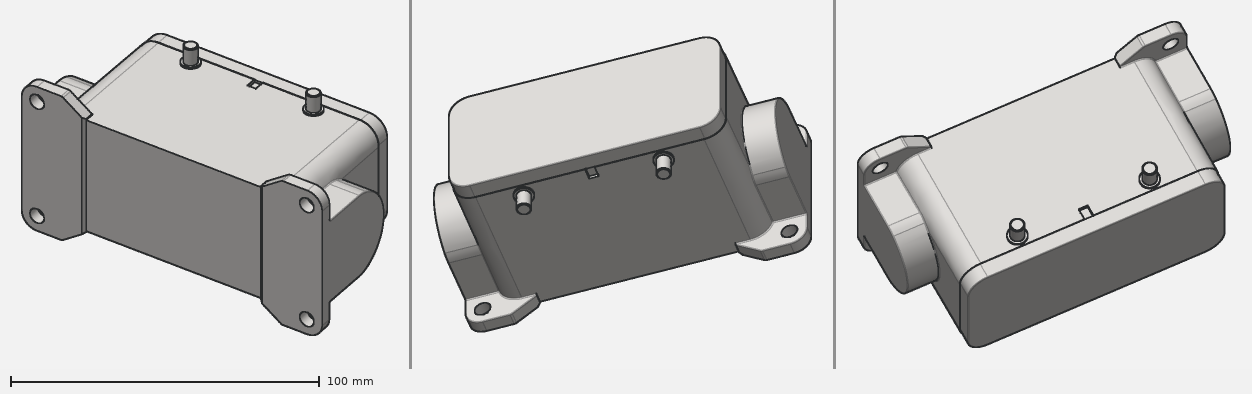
import cadquery as cq
import math

OVERALL_LENGTH = 117.0
OVERALL_HEIGHT = 56.3
PIN_SPAN = 57.8

EDGE_RADIUS = 0.29
ROOT_RADIUS = 0.4

BODY_LENGTH = 94.2
BODY_WIDTH = 44.0
BODY_CORNER_RADIUS = 8.0
BODY_DRAFT = 0.35
BASE_RECESS = 0.9

RIM_HEIGHT = 5.5
RIM_LENGTH = 93.0
RIM_WIDTH = 42.9
RIM_CORNER_RADIUS = 7.1
RIM_BASE = OVERALL_HEIGHT - RIM_HEIGHT

FLANGE_THICKNESS = 4.6
FLANGE_WIDTH = 57.0
FLANGE_NECK_WIDTH = 44.8
FLANGE_INNER_X = 34.0
FLANGE_SHOULDER_X = 42.8
FLANGE_CORNER_RADIUS = 5.8
FLANGE_SHOULDER_RADIUS = 1.4
FLANGE_INNER_CHAMFER = 1.0
MOUNT_HOLE_DIAMETER = 5.5
MOUNT_HOLE_SPACING_X = 105.1
MOUNT_HOLE_SPACING_Z = 45.2

HUB_WIDTH = 32.3
HUB_ARC_RADIUS = 16.5
HUB_CENTER_Y = 19.8
HUB_BLEND_RADIUS = 11.0

PIN_SPACING = 47.9
PIN_Y = 46.8
PIN_DIAMETER = 4.9
PIN_TIP_CHAMFER = 0.4
COLLAR_DIAMETER = 6.8
COLLAR_SPAN = 44.7

NOTCH_WIDTH = 3.3
NOTCH_HEIGHT = 4.2
NOTCH_DEPTH = 1.2


def rounded_block(length, width, radius, base, top, draft=0.0):
    """Block with rounded vertical corners, rising along +Y and narrowing by the draft angle."""
    outline = cq.Sketch().rect(length, width).vertices().fillet(radius)
    floor = cq.Workplane("XZ", origin=(0, base, 0))
    return floor.placeSketch(outline).extrude(base - top, taper=draft)


def mirrored_pair(half, plane):
    return half.union(half.mirror(plane))


def flange():
    """Plate at the +X end, necking down to just over the body width at its inner edge."""
    outer_x = OVERALL_LENGTH / 2
    half_width = FLANGE_WIDTH / 2
    neck = FLANGE_NECK_WIDTH / 2
    plate = (
        cq.Workplane("XZ")
        .polyline([
            (FLANGE_INNER_X, -neck),
            (FLANGE_SHOULDER_X, -half_width),
            (outer_x, -half_width),
            (outer_x, half_width),
            (FLANGE_SHOULDER_X, half_width),
            (FLANGE_INNER_X, neck),
        ])
        .close()
        .extrude(-FLANGE_THICKNESS)
    )
    plate = plate.edges("|Y and >X").fillet(FLANGE_CORNER_RADIUS)
    reach = FLANGE_SHOULDER_RADIUS
    shoulders = cq.selectors.BoxSelector(
        (FLANGE_SHOULDER_X - reach, 0, -FLANGE_WIDTH),
        (FLANGE_SHOULDER_X + reach, FLANGE_THICKNESS, FLANGE_WIDTH),
    )
    plate = plate.edges("|Y").edges(shoulders).fillet(FLANGE_SHOULDER_RADIUS)
    return plate.faces("<X").edges("<Y").chamfer(FLANGE_INNER_CHAMFER, BASE_RECESS)


def hub():
    """Round-topped, flat-sided boss reaching from inside the body to the +X end."""
    half_width = HUB_WIDTH / 2
    corner_y = HUB_CENTER_Y + math.sqrt(HUB_ARC_RADIUS**2 - half_width**2)
    root_x = BODY_LENGTH / 2 - BODY_CORNER_RADIUS
    boss = (
        cq.Workplane("YZ", origin=(root_x, 0, 0))
        .moveTo(BASE_RECESS, -half_width)
        .lineTo(corner_y, -half_width)
        .threePointArc((HUB_CENTER_Y + HUB_ARC_RADIUS, 0), (corner_y, half_width))
        .lineTo(BASE_RECESS, half_width)
        .close()
        .extrude(OVERALL_LENGTH / 2 - root_x)
    )
    return boss.edges("|X and (not <Y)").fillet(HUB_BLEND_RADIUS)


def edges_inside(x_range, y_range):
    """Selector for edges centred within these X and Y ranges and within the body width."""
    half_width = BODY_WIDTH / 2
    return cq.selectors.BoxSelector(
        (x_range[0], y_range[0], -half_width),
        (x_range[1], y_range[1], half_width),
    )


def soften_ends(housing):
    """Fillet the roots of the hubs and flanges, then round the outer hub edges."""
    margin = 0.1
    outer_x = OVERALL_LENGTH / 2
    body_x = BODY_LENGTH / 2
    hub_top = HUB_CENTER_Y + HUB_ARC_RADIUS
    flange_range = (FLANGE_THICKNESS - margin, FLANGE_THICKNESS + margin)
    hub_range = (FLANGE_THICKNESS + margin, hub_top)
    flange_roots = edges_inside((FLANGE_INNER_X + margin, outer_x - margin / 2), flange_range)
    hub_roots = edges_inside((body_x - ROOT_RADIUS - margin, body_x + margin), hub_range)
    hub_rim = edges_inside((outer_x - margin, outer_x + margin), hub_range)
    for _ in range(2):
        housing = housing.edges(flange_roots + hub_roots).fillet(ROOT_RADIUS)
        housing = housing.faces(">X").edges(hub_rim).fillet(EDGE_RADIUS)
        housing = housing.mirror("YZ")
    return housing


def pin(x):
    """Collared pin passing through the body, with both tips chamfered."""
    axis = cq.Workplane("XY", origin=(x, PIN_Y, 0))
    shaft = axis.circle(PIN_DIAMETER / 2).extrude(PIN_SPAN / 2, both=True)
    shaft = shaft.faces("|Z").edges().chamfer(PIN_TIP_CHAMFER)
    collars = axis.circle(COLLAR_DIAMETER / 2).extrude(COLLAR_SPAN / 2, both=True)
    return shaft.union(collars)


def notch():
    """Cutter for the rectangular recess just below the rim on the +Z side."""
    rise = RIM_BASE - BASE_RECESS
    side_z = BODY_WIDTH / 2 - rise * math.tan(math.radians(BODY_DRAFT))
    floor = cq.Workplane("XY", origin=(0, RIM_BASE - NOTCH_HEIGHT / 2, side_z - NOTCH_DEPTH))
    return floor.rect(NOTCH_WIDTH, NOTCH_HEIGHT).extrude(2 * NOTCH_DEPTH)


body = rounded_block(BODY_LENGTH, BODY_WIDTH, BODY_CORNER_RADIUS, BASE_RECESS, RIM_BASE, BODY_DRAFT)
rim = rounded_block(RIM_LENGTH, RIM_WIDTH, RIM_CORNER_RADIUS, RIM_BASE, OVERALL_HEIGHT)
rim = rim.faces(">Y").edges().fillet(EDGE_RADIUS)

mount_holes = (
    cq.Workplane("XZ")
    .rarray(MOUNT_HOLE_SPACING_X, MOUNT_HOLE_SPACING_Z, 2, 2)
    .circle(MOUNT_HOLE_DIAMETER / 2)
    .extrude(-FLANGE_THICKNESS)
)

result = body.union(rim)
result = result.union(mirrored_pair(hub(), "YZ"))
result = result.union(mirrored_pair(flange(), "YZ"))
result = soften_ends(result)
result = result.cut(mirrored_pair(notch(), "XY"))
for pin_x in (-PIN_SPACING / 2, PIN_SPACING / 2):
    result = result.union(pin(pin_x))
result = result.cut(mount_holes)